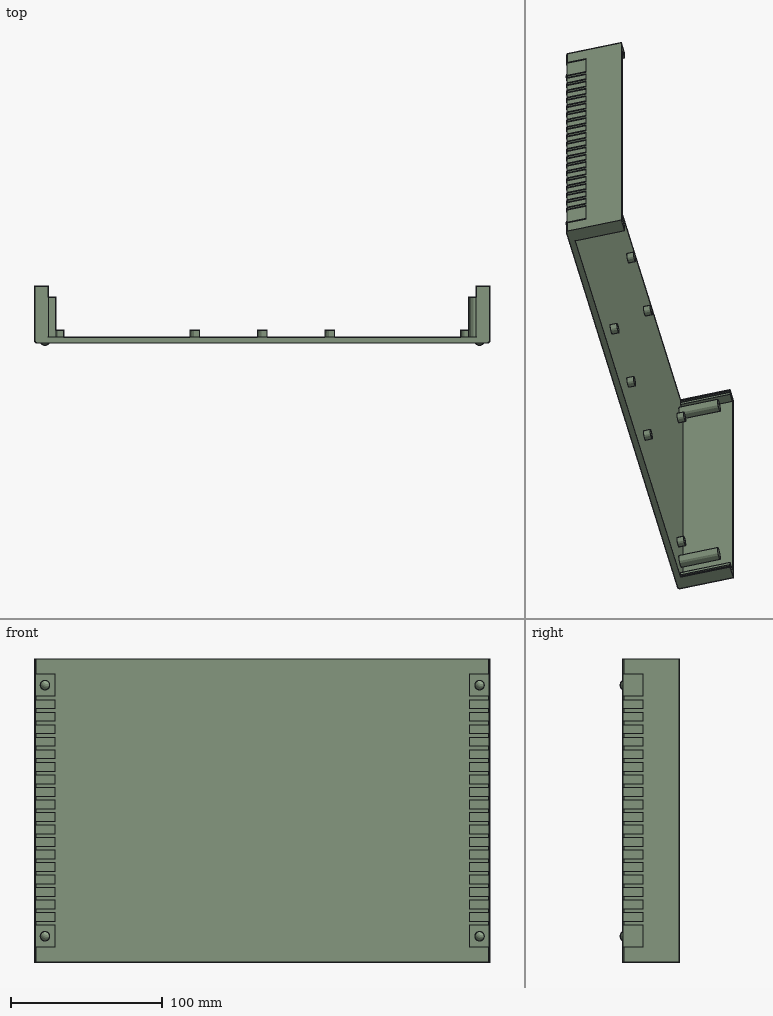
import cadquery as cq

width = 300.0
height = 200.0
depth = 37.6
plate_thickness = 4.0
edge_chamfer = 1.0

wall_thickness = 9.0
thin_wall = 3.0
flange_height = 5.25

groove_margin = 1.25
groove_width = 1.5
groove_depth = 1.5

recess_depth = 0.5
pad_reach = 13.5
pad_end_margin = 10.0
corner_pad_height = 14.5
small_pad_height = 5.75
pad_gap = 2.5
small_pad_count = 18

foot_radius = 3.1
foot_protrusion = 1.5

post_radius = 4.0
post_offset = 10.0
post_end_gap = 7.3
post_z = 83.5
pin_radius = 3.2
pin_height = 4.5
pin_z = 70.0
pin_positions = (-134.0, -44.5, 0.0, 44.5, 134.0)

half_width = width / 2
half_height = height / 2
foot_x = half_width - pad_reach / 2
foot_z = half_height - pad_end_margin - corner_pad_height / 2
sides = (-1, 1)


def box(x_range, y_range, z_range):
    """Box spanning the given (low, high) ranges."""
    low, high = zip(x_range, y_range, z_range)
    size = [b - a for a, b in zip(low, high)]
    return cq.Workplane("XY").box(*size, centered=False).translate(low)


def side_box(side, inner, outer, y_range, z_range):
    """Box between two distances from the centre plane, on the chosen X side."""
    x_range = sorted((side * inner, side * outer))
    return box(x_range, y_range, z_range)


def rod(x, z, radius, y_start, y_end):
    """Cylinder along Y."""
    return cq.Workplane("XZ", origin=(x, y_start, z)).circle(radius).extrude(y_start - y_end)


def shell():
    """Front plate with two side walls."""
    full_z = (-half_height, half_height)
    body = box((-half_width, half_width), (0, depth), full_z)
    body = body.edges("|Z and <Y").chamfer(edge_chamfer)
    inner_x = half_width - wall_thickness
    body = body.cut(box((-inner_x, inner_x), (plate_thickness, depth), full_z))
    thin_z = half_height - flange_height
    groove_top = half_height - groove_margin
    groove_bottom = groove_top - groove_width
    inner_y = (plate_thickness, depth)
    for side in sides:
        body = body.cut(side_box(side, inner_x, half_width - thin_wall, inner_y, (-thin_z, thin_z)))
        for groove_z in ((groove_bottom, groove_top), (-groove_top, -groove_bottom)):
            body = body.cut(side_box(side, inner_x, inner_x + groove_depth, inner_y, groove_z))
    return body


def pad_ranges():
    """Z ranges of all pads in a column, from bottom to top."""
    heights = [corner_pad_height] + [small_pad_height] * small_pad_count + [corner_pad_height]
    ranges = []
    z = pad_end_margin - half_height
    for pad_height in heights:
        ranges.append((z, z + pad_height))
        z += pad_height + pad_gap
    return ranges


def pad_recess(side, z_range):
    """L-shaped shallow cut wrapping round a front corner."""
    front = side_box(side, half_width - pad_reach, half_width, (0, recess_depth), z_range)
    flank = side_box(side, half_width - recess_depth, half_width, (0, pad_reach), z_range)
    return front.union(flank)


def foot(x, z):
    """Spherical cap standing on the recessed pad."""
    cap_height = foot_protrusion + recess_depth
    sphere_radius = (foot_radius**2 + cap_height**2) / (2 * cap_height)
    ball = cq.Workplane("XY").sphere(sphere_radius).translate((x, sphere_radius - foot_protrusion, z))
    return ball.intersect(rod(x, z, foot_radius, -foot_protrusion, plate_thickness / 2))


def add_recesses(body):
    """Cut a column of pads into both front corners."""
    for side in sides:
        for z_range in pad_ranges():
            body = body.cut(pad_recess(side, z_range))
    return body


def add_feet_posts_and_pins(body):
    """Add the feet, wall posts and plate pins, mirrored about the mid height."""
    root_y = plate_thickness / 2
    for level in sides:
        for side in sides:
            body = body.union(foot(side * foot_x, level * foot_z))
            post_x = side * (half_width - post_offset)
            body = body.union(rod(post_x, level * post_z, post_radius, root_y, depth - post_end_gap))
        for pin_x in pin_positions:
            pin_end = plate_thickness + pin_height
            body = body.union(rod(pin_x, level * pin_z, pin_radius, root_y, pin_end))
    return body


result = add_feet_posts_and_pins(add_recesses(shell()))